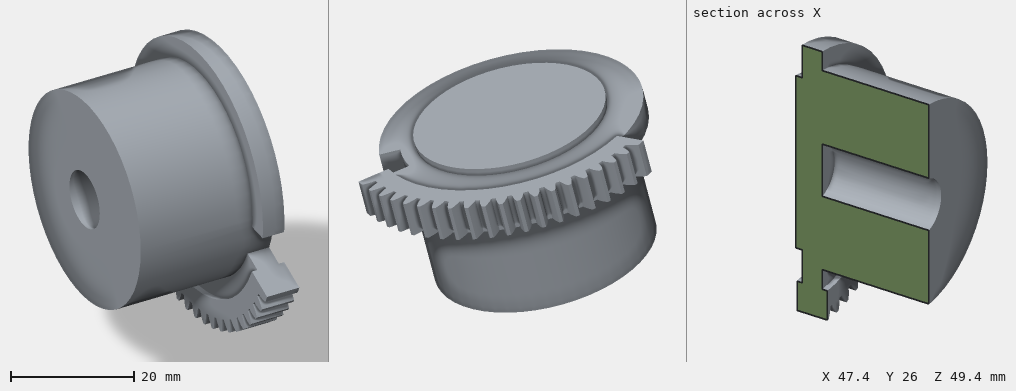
import cadquery as cq
import math

drum_radius = 18.5
drum_length = 20.75
bore_radius = 5.0
bore_depth = drum_length

flange_radius = 22.0
flange_thickness = 4.0
flange_back = drum_length + flange_thickness

pad_radius = 16.0
overall_length = 26.0

sector_thickness = 6.0
sector_overhang = 1.0
sector_front = drum_length - sector_overhang
gear_module = 0.9
full_circle_teeth = 59
pitch_radius = gear_module * full_circle_teeth / 2
tip_radius = pitch_radius + gear_module
root_radius = 25.3
sector_middle_angle = 276.1
sector_half_span = 60.2
sector_start_angle = sector_middle_angle - sector_half_span
sector_end_angle = sector_middle_angle + sector_half_span

space_count = 19
space_pitch = 360 / full_circle_teeth
space_root_width = 1.7
space_middle_width = 2.9
space_tip_width = 4.8
middle_radius = (root_radius + tip_radius) / 2

notch_end_angle = 355.0

cutter_overrun = 1.0


def polar(radius, angle):
    """Point in the XZ plane, with the angle in degrees from +X towards +Z."""
    return radius * math.cos(math.radians(angle)), radius * math.sin(math.radians(angle))


def plane_at(y):
    """XZ plane at the given Y; extruding by a negative length grows towards +Y."""
    return cq.Workplane("XZ", origin=(0, y, 0))


def disc(radius, start, end):
    return plane_at(start).circle(radius).extrude(start - end)


def ring_segment(inner_radius, outer_radius, start_angle, end_angle, start, thickness):
    middle_angle = (start_angle + end_angle) / 2
    return (
        plane_at(start)
        .moveTo(*polar(inner_radius, start_angle))
        .lineTo(*polar(outer_radius, start_angle))
        .threePointArc(polar(outer_radius, middle_angle), polar(outer_radius, end_angle))
        .lineTo(*polar(inner_radius, end_angle))
        .threePointArc(polar(inner_radius, middle_angle), polar(inner_radius, start_angle))
        .close()
        .extrude(-thickness)
    )


def tooth_space(angle):
    """Cutter for one tooth space, with curved flanks and a flat root."""
    outer_radius = tip_radius + cutter_overrun
    root_half = space_root_width / 2
    middle_half = space_middle_width / 2
    tip_half = space_tip_width / 2
    return (
        plane_at(sector_front)
        .moveTo(*polar(root_radius, angle - root_half))
        .threePointArc(polar(middle_radius, angle - middle_half), polar(tip_radius, angle - tip_half))
        .lineTo(*polar(outer_radius, angle - tip_half))
        .lineTo(*polar(outer_radius, angle + tip_half))
        .lineTo(*polar(tip_radius, angle + tip_half))
        .threePointArc(polar(middle_radius, angle + middle_half), polar(root_radius, angle + root_half))
        .close()
        .extrude(-sector_thickness)
    )


def toothed_sector():
    sector = ring_segment(
        flange_radius, tip_radius, sector_start_angle, sector_end_angle, sector_front, sector_thickness
    )
    first_space_angle = sector_middle_angle - space_pitch * (space_count - 1) / 2
    for index in range(space_count):
        sector = sector.cut(tooth_space(first_space_angle + index * space_pitch))
    return sector


def notched_flange():
    flange = disc(flange_radius, drum_length, flange_back)
    notch = ring_segment(
        drum_radius,
        flange_radius + cutter_overrun,
        sector_end_angle,
        notch_end_angle,
        drum_length,
        flange_thickness,
    )
    return flange.cut(notch)


drum = disc(drum_radius, 0, drum_length)
back_pad = disc(pad_radius, flange_back, overall_length)
bore = disc(bore_radius, 0, bore_depth)

result = drum.union(notched_flange()).union(back_pad).union(toothed_sector()).cut(bore)